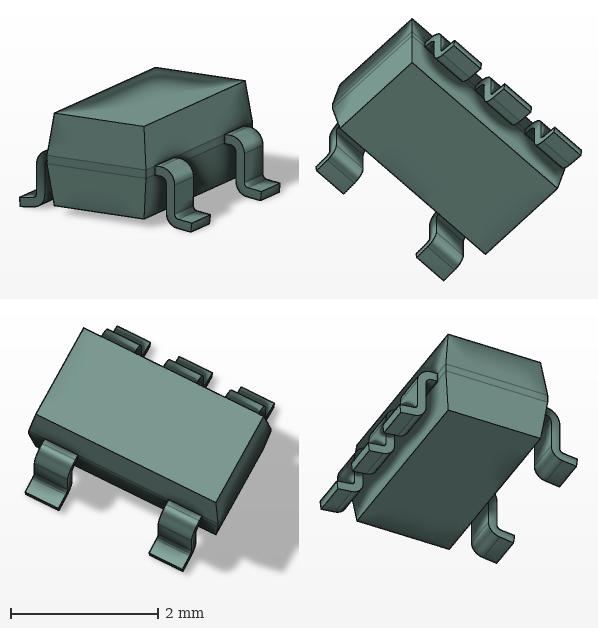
import cadquery as cq
import math

body_width = 1.55
body_length = 2.9
body_top = 1.44
belt_top = 0.855
belt_height = 0.12
body_height = 1.302
draft_inset = 0.072

lead_width = 0.51
lead_thickness = 0.13
lead_pitch = 0.948
lead_span = 2.7
leg_outer_x = 1.082
shoulder_inner_radius = 0.1
foot_inner_radius = 0.065
foot_slope = math.radians(7)

belt_bottom = belt_top - belt_height
body_bottom = body_top - body_height


def polar(center, radius, angle):
    """Point at a given radius and angle around a center."""
    return (center[0] + radius * math.cos(angle), center[1] + radius * math.sin(angle))


def make_body():
    def frustum(belt_z, end_z):
        return (
            cq.Workplane("XY", origin=(0, 0, belt_z))
            .rect(body_width, body_length)
            .workplane(offset=end_z - belt_z)
            .rect(body_width - 2 * draft_inset, body_length - 2 * draft_inset)
            .loft(ruled=True)
        )

    belt = (
        cq.Workplane("XY", origin=(0, 0, belt_bottom))
        .rect(body_width, body_length)
        .extrude(belt_height)
    )
    return belt.union(frustum(belt_top, body_top)).union(frustum(belt_bottom, body_bottom))


def make_lead(side, y):
    """Lead on the +X (side = 1) or -X (side = -1) face, centered at y."""
    root_x = body_width / 2
    leg_inner_x = leg_outer_x - lead_thickness
    lead_bottom = belt_top - lead_thickness

    shoulder_outer_radius = shoulder_inner_radius + lead_thickness
    shoulder = (leg_inner_x - shoulder_inner_radius, lead_bottom - shoulder_inner_radius)
    shoulder_middle = math.radians(45)

    foot_outer_radius = foot_inner_radius + lead_thickness
    foot_x = leg_outer_x + foot_inner_radius
    foot_reach = lead_span / 2 - foot_x + foot_inner_radius * math.sin(foot_slope)
    foot_length = foot_reach / math.cos(foot_slope)
    foot_z = foot_outer_radius * math.cos(foot_slope) + foot_length * math.sin(foot_slope)
    foot = (foot_x, foot_z)
    foot_end = 1.5 * math.pi - foot_slope
    foot_middle = (math.pi + foot_end) / 2

    foot_top = polar(foot, foot_inner_radius, foot_end)
    foot_bottom = polar(foot, foot_outer_radius, foot_end)

    profile = (
        cq.Workplane("XZ")
        .moveTo(root_x, belt_top)
        .lineTo(shoulder[0], belt_top)
        .threePointArc(
            polar(shoulder, shoulder_outer_radius, shoulder_middle), (leg_outer_x, shoulder[1])
        )
        .lineTo(leg_outer_x, foot_z)
        .threePointArc(polar(foot, foot_inner_radius, foot_middle), foot_top)
        .lineTo(*polar(foot_top, foot_length, -foot_slope))
        .lineTo(*polar(foot_bottom, foot_length, -foot_slope))
        .lineTo(*foot_bottom)
        .threePointArc(polar(foot, foot_outer_radius, foot_middle), (leg_inner_x, foot_z))
        .lineTo(leg_inner_x, shoulder[1])
        .threePointArc(
            polar(shoulder, shoulder_inner_radius, shoulder_middle), (shoulder[0], lead_bottom)
        )
        .lineTo(root_x, lead_bottom)
        .close()
    )
    lead = profile.extrude(lead_width / 2, both=True)
    if side < 0:
        lead = lead.mirror("YZ")
    return lead.translate((0, y, 0))


body = make_body()

lead_rows = {-1: (-1, 0, 1), 1: (-1, 1)}
leads = []
for side, rows in lead_rows.items():
    for row in rows:
        leads.append(make_lead(side, row * lead_pitch).val())

result = cq.Compound.makeCompound([body.val(), *leads])